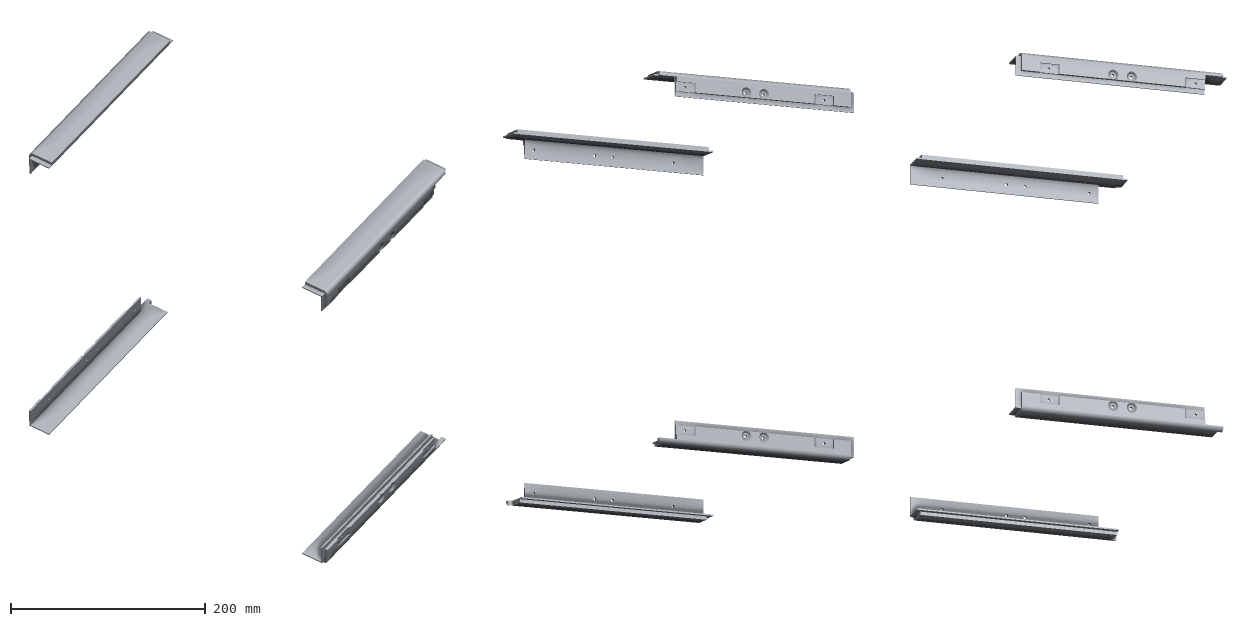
import cadquery as cq
width = 370.0
length = 227.5
height = 390.0

skin = 3.5
liner = 1.5
wall = skin + liner
lap = wall
corner_radius = wall
flat_reach = 28.0
upright_reach = 25.0
upright_skin_reach = upright_reach - lap

half_length = length / 2
skin_length = half_length - lap
back_upright_length = 89.5

screw_y = 10.0
screw_drop = 15.0
screw_diameter = 3.0
recess_mouth_diameter = 11.0
recess_floor_diameter = 7.5
recess_depth = 2.5

pocket_start = 67.5
pocket_end = back_upright_length
pocket_ramp = 1.5
pocket_depth = 1.5
pocket_top = 10.0
pocket_bottom = upright_skin_reach
pin_hole_y = 79.0
pin_hole_drop = (pocket_top + pocket_bottom) / 2
pin_hole_diameter = 2.7



def box(x_range, y_range, z_range):
    """Box spanning the given (low, high) ranges."""
    lows, highs = zip(x_range, y_range, z_range)
    sizes = [high - low for low, high in zip(lows, highs)]
    return cq.Workplane("XY").box(*sizes, centered=False).translate(lows)


def angle_bar(inset, thickness, flat_end, upright_end, bar_length):
    """L-section bar whose outer faces lie `inset` inside the rail's outer faces."""
    inside = inset + thickness
    outline = [
        (inset, -inset),
        (flat_end, -inset),
        (flat_end, -inside),
        (inside, -inside),
        (inside, -upright_end),
        (inset, -upright_end),
    ]
    return cq.Workplane("XZ").polyline(outline).close().extrude(-bar_length)


def rail_body(flat_skin_reach, liner_length):
    """Skin with a rounded outer corner, joined to its liner."""
    skin_bar = angle_bar(0, skin, flat_skin_reach, upright_skin_reach, skin_length)
    skin_bar = skin_bar.edges("|Y").edges("<X and >Z").fillet(corner_radius)
    liner_bar = angle_bar(skin, liner, flat_reach, upright_reach, liner_length)
    return skin_bar.union(liner_bar)


def upright_hole(y, drop, diameter):
    """Cylinder through the upright."""
    return cq.Workplane("YZ").center(y, -drop).circle(diameter / 2).extrude(wall)


def cut_screw_hole(rail):
    recess = cq.Workplane(cq.Solid.makeCone(
        recess_mouth_diameter / 2,
        recess_floor_diameter / 2,
        recess_depth,
        cq.Vector(0, screw_y, -screw_drop),
        cq.Vector(1, 0, 0),
    ))
    return rail.cut(recess).cut(upright_hole(screw_y, screw_drop, screw_diameter))


def cut_pocket(rail):
    outline = [
        (0, pocket_start),
        (pocket_depth, pocket_start + pocket_ramp),
        (pocket_depth, pocket_end),
        (0, pocket_end),
    ]
    pocket = (
        cq.Workplane("XY").workplane(offset=-pocket_bottom)
        .polyline(outline).close().extrude(pocket_bottom - pocket_top)
    )
    return rail.cut(pocket).cut(upright_hole(pin_hole_y, pin_hole_drop, pin_hole_diameter))


def cut_upright_short(rail):
    """Remove the far end of the upright, leaving the flat leg and its rounded corner."""
    return rail.cut(box((0, wall), (back_upright_length, half_length), (-upright_reach, -wall)))


def cut_flat_end(rail):
    """Shorten the flat leg by one lap, leaving the rounded corner as a lip."""
    return rail.cut(box((wall, flat_reach), (skin_length - lap, skin_length), (-wall, 0)))


def make_top_front_rail():
    return cut_pocket(cut_screw_hole(rail_body(flat_reach, half_length)))


def make_top_back_rail():
    return cut_upright_short(make_top_front_rail())


def make_bottom_front_rail():
    return cut_pocket(cut_screw_hole(rail_body(flat_reach - lap, half_length)))


def make_bottom_back_rail():
    rail = cut_pocket(cut_screw_hole(rail_body(flat_reach - lap, skin_length)))
    return cut_flat_end(cut_upright_short(rail))


def place(rail, right, top, back):
    """Mirror a half into its quadrant and move it to its corner of the envelope."""
    if not back:
        rail = rail.mirror("XZ")
    if not top:
        rail = rail.mirror("XY")
    if right:
        rail = rail.mirror("YZ")
    corner_x = width / 2 if right else -width / 2
    corner_z = height / 2 if top else -height / 2
    return rail.translate((corner_x, 0, corner_z))


top_front_rail = make_top_front_rail()
top_back_rail = make_top_back_rail()
bottom_front_rail = make_bottom_front_rail()
bottom_back_rail = make_bottom_back_rail()

bodies = []
for right in (False, True):
    bodies.append(place(top_front_rail, right, top=True, back=False).val())
    bodies.append(place(top_back_rail, right, top=True, back=True).val())
    bodies.append(place(bottom_front_rail, right, top=False, back=False).val())
    bodies.append(place(bottom_back_rail, right, top=False, back=True).val())

result = cq.Compound.makeCompound(bodies)